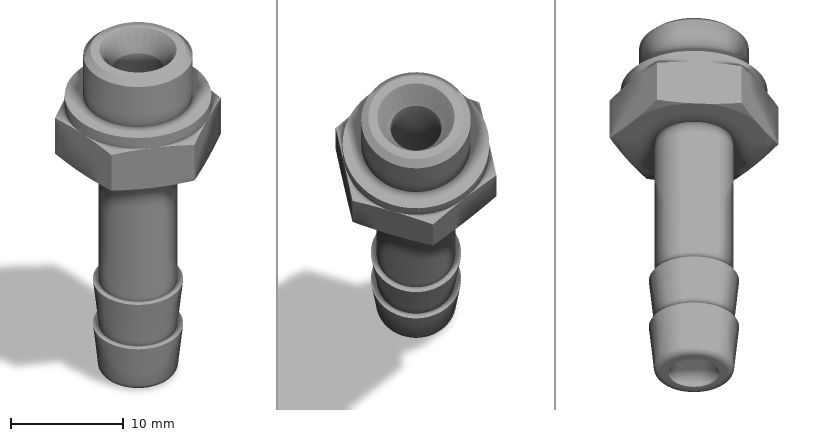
import cadquery as cq
import math

total_length = 34.7
spigot_length = 4.93
collar_height = 1.18
hex_height = 4.37
barb_pitch = 4.85
barb_count = 2

hex_across_flats = 13.0
collar_diameter = hex_across_flats
spigot_diameter = 9.7
stem_diameter = 7.0
barb_diameter = 8.0
bore_diameter = 4.5
countersink_diameter = 6.85

spigot_chamfer_height = 0.55
spigot_chamfer_width = 0.62
hex_chamfer_height = 0.25
hose_end_fillet = 0.62
countersink_depth = 2.0

collar_top = total_length - spigot_length
hex_top = collar_top - collar_height
hex_bottom = hex_top - hex_height
hex_across_corners = hex_across_flats / math.cos(math.radians(30))


def cylinder(diameter, bottom, height):
    return cq.Workplane("XY").workplane(offset=bottom).circle(diameter / 2).extrude(height)


def make_spigot():
    """Plain cylinder with a chamfered outer rim at the top."""
    spigot = cylinder(spigot_diameter, collar_top, spigot_length)
    return spigot.faces(">Z").chamfer(spigot_chamfer_height, spigot_chamfer_width)


def make_hexagon():
    """Hexagon with corners on the Y axis, its corners trimmed by shallow cones at both ends."""
    prism = (
        cq.Workplane("XY")
        .workplane(offset=hex_bottom)
        .polygon(6, hex_across_corners)
        .extrude(hex_height)
        .rotate((0, 0, 0), (0, 0, 1), 30)
    )
    flat_radius = hex_across_flats / 2
    corner_radius = hex_across_corners / 2
    trim = (
        cq.Workplane("XZ")
        .moveTo(0, hex_bottom)
        .lineTo(flat_radius, hex_bottom)
        .lineTo(corner_radius, hex_bottom + hex_chamfer_height)
        .lineTo(corner_radius, hex_top - hex_chamfer_height)
        .lineTo(flat_radius, hex_top)
        .lineTo(0, hex_top)
        .close()
        .revolve(360, (0, 0, 0), (0, 1, 0))
    )
    return prism.intersect(trim)


def make_barb(bottom):
    """Cone that widens upward from the stem diameter to a sharp shoulder."""
    return (
        cq.Workplane("XY")
        .workplane(offset=bottom)
        .circle(stem_diameter / 2)
        .workplane(offset=barb_pitch)
        .circle(barb_diameter / 2)
        .loft(ruled=True)
    )


def make_stem():
    """Hose stem: stacked barbs below a plain cylinder, with a rounded hose end."""
    barbs_top = barb_count * barb_pitch
    stem = cylinder(stem_diameter, barbs_top, hex_bottom - barbs_top)
    for index in range(barb_count):
        stem = stem.union(make_barb(index * barb_pitch))
    return stem.faces("<Z").edges().fillet(hose_end_fillet)


def make_bore():
    """Through bore with a conical countersink at the spigot end."""
    countersink = (
        cq.Workplane("XY")
        .workplane(offset=total_length - countersink_depth)
        .circle(bore_diameter / 2)
        .workplane(offset=countersink_depth)
        .circle(countersink_diameter / 2)
        .loft(ruled=True)
    )
    return cylinder(bore_diameter, 0, total_length).union(countersink)


collar = cylinder(collar_diameter, hex_top, collar_height)
result = make_stem().union(make_hexagon()).union(collar).union(make_spigot()).cut(make_bore())